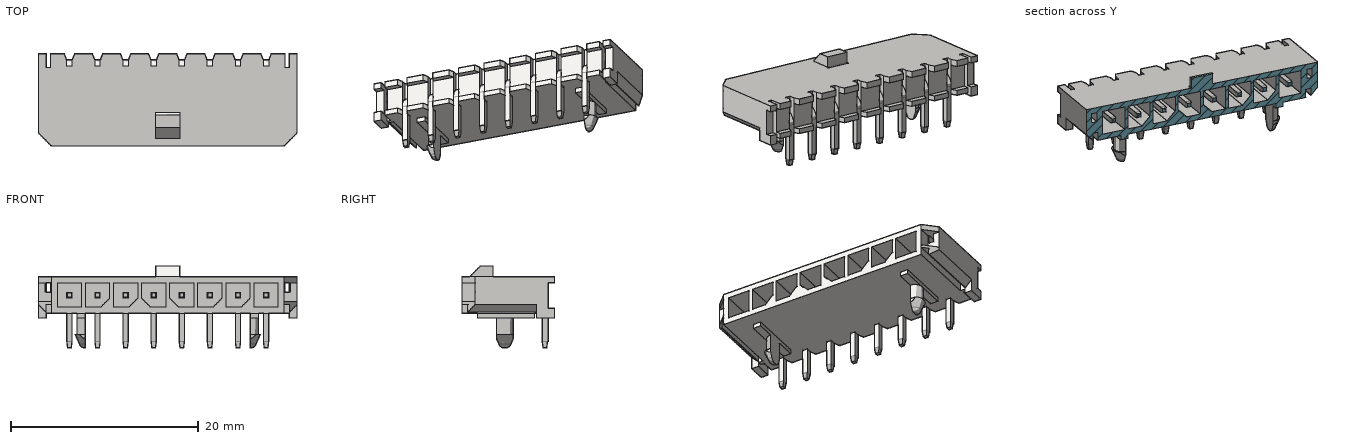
import cadquery as cq
import math


LENGTH = 27.65
DEPTH = 9.9
BODY_HEIGHT = 3.93
STANDOFF = 0.5
WALL = 0.65
HALF = LENGTH / 2
BODY_TOP = STANDOFF + BODY_HEIGHT
LOWEST_Z = -3.18

PIN_COUNT = 8
ROW_LENGTH = 21.01
PITCH = ROW_LENGTH / (PIN_COUNT - 1)
CAVITY = BODY_HEIGHT - 2 * WALL
CAVITY_DEPTH = 7.88
KEY_CHAMFER = 0.97
KEYED_RIGHT = (1, 2, 5, 6)
KEYED_LEFT = (3, 4)
PIN_X = [i * PITCH - ROW_LENGTH / 2 for i in range(PIN_COUNT)]

PIN_WIDTH = 0.58
TAIL_DEPTH = 0.65
TAIL_BACK = DEPTH - WALL
TAIL_FRONT = TAIL_BACK - TAIL_DEPTH
CONTACT_Z = STANDOFF + BODY_HEIGHT / 2
CONTACT_TIP_Y = 2.76
TIP_LENGTH = 0.65
TIP_INSET = 0.08
BEND_RADIUS = 0.65

NOTCH_MOUTH = 1.1

CORNER = 1.4
POCKET_HEIGHT = 2.0
CHANNEL_HEIGHT = 0.95
LIP_WIDTH = 0.83
BEVEL = 0.77
FOOT_WIDTH = 0.85
FOOT_DEPTH = 1.94
RECESS_BOTTOM = 1.05
SLOT_WIDTH = 0.41
SLOT_DEPTH = 1.5
PASSAGE_WIDTH = 0.58
PASSAGE_HEIGHT = 1.0

LATCH_WIDTH = 2.6
LATCH_HEIGHT = 1.15
LATCH_FRONT = 0.83
LATCH_CREST = 2.0
LATCH_BACK = 3.35
LATCH_GROOVE = 0.25

PEG_X = 8.8
PEG_Y = 4.6
PEG_RADIUS = 0.9
BARB_RADIUS = 1.1
BARB_TOP = -1.75
BARB_BOTTOM = -2.76
BARB_END_RADIUS = 0.65
RIB_FRONT = 1.65
RIB_BACK = 7.77


def block(x0, x1, y0, y1, z0, z1):
    """Box between two opposite corners."""
    return cq.Workplane("XY").box(x1 - x0, y1 - y0, z1 - z0, centered=False).translate((x0, y0, z0))


def side_profile(points, x0, x1):
    """Outline of (y, z) points, extruded from x0 to x1."""
    return cq.Workplane("YZ").polyline(points).close().extrude(x1 - x0).translate((x0, 0, 0))


def both_ends(solid):
    """The solid together with its mirror image at the other end of the row."""
    return solid.union(solid.mirror("YZ"))


def body_block():
    """Plain body with chamfered front corners and a recess across the back."""
    body = block(-HALF, HALF, 0, DEPTH, STANDOFF, BODY_TOP)
    body = body.edges("|Z and <Y").chamfer(CORNER)
    recess = block(-HALF, HALF, TAIL_BACK, DEPTH, RECESS_BOTTOM, BODY_TOP - WALL)
    return body.cut(recess)


def corner_pocket():
    """Pocket open through the chamfered front corner at the -X end."""
    pocket_top = BODY_TOP - WALL
    return block(-HALF, -HALF + CORNER, 0, CORNER, pocket_top - POCKET_HEIGHT, pocket_top)


def side_channel():
    """Channel under the -X end, from the front to the foot, that leaves a bevelled outer lip."""
    channel_top = STANDOFF + CHANNEL_HEIGHT
    lip_bottom = channel_top - BEVEL
    return (
        cq.Workplane("XZ")
        .polyline([
            (-HALF, STANDOFF),
            (-HALF, channel_top),
            (-HALF + BEVEL, lip_bottom),
            (-HALF + LIP_WIDTH, lip_bottom),
            (-HALF + LIP_WIDTH, channel_top),
            (-HALF + CORNER, channel_top),
            (-HALF + CORNER, STANDOFF),
        ])
        .close()
        .extrude(-(DEPTH - FOOT_DEPTH))
    )


def end_slot():
    """Slot at the back of the -X end and the passage that joins it to the corner pocket."""
    slot_outer = -HALF + FOOT_WIDTH
    slot_inner = slot_outer + SLOT_WIDTH
    slot_front = DEPTH - SLOT_DEPTH
    passage_top = BODY_TOP - WALL
    slot = block(slot_outer, slot_inner, slot_front, DEPTH, 0, BODY_TOP)
    passage = block(
        slot_inner - PASSAGE_WIDTH, slot_inner, CORNER, slot_front, passage_top - PASSAGE_HEIGHT, passage_top
    )
    return slot.union(passage)


def foot():
    """Foot under the back of the -X end."""
    return block(-HALF, -HALF + FOOT_WIDTH, DEPTH - FOOT_DEPTH, DEPTH, 0, STANDOFF)


def cavity(index):
    """Mating cavity, with one lower corner filled where the position is keyed."""
    x = PIN_X[index]
    floor = STANDOFF + WALL
    space = block(x - CAVITY / 2, x + CAVITY / 2, 0, CAVITY_DEPTH, floor, floor + CAVITY)
    if index in KEYED_RIGHT:
        space = space.edges("|Y and >X and <Z").chamfer(KEY_CHAMFER)
    if index in KEYED_LEFT:
        space = space.edges("|Y and <X and <Z").chamfer(KEY_CHAMFER)
    return space


def back_notch(x):
    """Full-height notch that tapers from the back edge to a slot as wide as the tail."""
    return (
        cq.Workplane("XY")
        .polyline([
            (x - NOTCH_MOUTH / 2, DEPTH),
            (x - PIN_WIDTH / 2, TAIL_BACK),
            (x - PIN_WIDTH / 2, TAIL_FRONT),
            (x + PIN_WIDTH / 2, TAIL_FRONT),
            (x + PIN_WIDTH / 2, TAIL_BACK),
            (x + NOTCH_MOUTH / 2, DEPTH),
        ])
        .close()
        .extrude(BODY_TOP)
    )


def latch():
    """Ramped catch on the top face."""
    crest_z = BODY_TOP + LATCH_HEIGHT
    outline = [
        (LATCH_FRONT, BODY_TOP),
        (LATCH_CREST, crest_z),
        (LATCH_BACK, crest_z),
        (LATCH_BACK, BODY_TOP),
    ]
    return side_profile(outline, -LATCH_WIDTH / 2, LATCH_WIDTH / 2)


def latch_groove():
    """Quarter-round groove in the top face along the back of the latch."""
    groove_back = LATCH_BACK + LATCH_GROOVE
    return (
        cq.Workplane("YZ")
        .moveTo(groove_back, BODY_TOP)
        .lineTo(LATCH_BACK, BODY_TOP)
        .radiusArc((groove_back, BODY_TOP - LATCH_GROOVE), -LATCH_GROOVE)
        .close()
        .extrude(LATCH_WIDTH / 2, both=True)
    )


def peg():
    """Half-round barbed peg and its rib, at the -X end; the flat side faces the middle."""
    dome_height = BARB_BOTTOM - LOWEST_Z
    dome_middle = (
        BARB_END_RADIUS * math.sin(math.pi / 4),
        BARB_BOTTOM - dome_height * math.cos(math.pi / 4),
    )
    barb = (
        cq.Workplane("XZ")
        .moveTo(0, BARB_TOP)
        .lineTo(BARB_RADIUS, BARB_TOP)
        .lineTo(BARB_END_RADIUS, BARB_BOTTOM)
        .threePointArc(dome_middle, (0, LOWEST_Z))
        .close()
        .revolve(360, (0, 0, 0), (0, 1, 0))
    )
    flat_sided = block(-BARB_RADIUS, 0, -PEG_RADIUS, PEG_RADIUS, LOWEST_Z, STANDOFF)
    stem = cq.Workplane("XY").workplane(offset=BARB_TOP).circle(PEG_RADIUS).extrude(STANDOFF - BARB_TOP)
    half_peg = stem.union(barb).intersect(flat_sided).translate((-PEG_X, PEG_Y, 0))
    rib = block(-PEG_X - PEG_RADIUS, -PEG_X, RIB_FRONT, RIB_BACK, 0, STANDOFF)
    return half_peg.union(rib)


def make_pin(x):
    """Bent pin: contact along Y, rounded bend, tail along -Z, both ends tapered."""
    half = PIN_WIDTH / 2
    contact_end = CONTACT_TIP_Y + TIP_LENGTH
    tail_end = LOWEST_Z + TIP_LENGTH
    bent_bar = side_profile(
        [
            (contact_end, CONTACT_Z + half),
            (TAIL_BACK, CONTACT_Z + half),
            (TAIL_BACK, tail_end),
            (TAIL_FRONT, tail_end),
            (TAIL_FRONT, CONTACT_Z - half),
            (contact_end, CONTACT_Z - half),
        ],
        -half,
        half,
    )
    bent_bar = bent_bar.edges("|X and >Y and >Z").fillet(BEND_RADIUS + TAIL_DEPTH)
    inner_corner = cq.NearestToPointSelector((0, TAIL_FRONT, CONTACT_Z - half))
    bent_bar = bent_bar.edges(inner_corner).fillet(BEND_RADIUS)
    tip_end = PIN_WIDTH - 2 * TIP_INSET
    contact_tip = (
        cq.Workplane("XZ", origin=(0, contact_end, CONTACT_Z))
        .rect(PIN_WIDTH, PIN_WIDTH)
        .workplane(offset=TIP_LENGTH)
        .rect(tip_end, tip_end)
        .loft(ruled=True)
    )
    tail_tip = (
        cq.Workplane("XY", origin=(0, TAIL_FRONT + half, tail_end))
        .rect(PIN_WIDTH, PIN_WIDTH)
        .workplane(offset=-TIP_LENGTH)
        .rect(tip_end, tip_end)
        .loft(ruled=True)
    )
    return bent_bar.union(contact_tip).union(tail_tip).translate((x, 0, 0))


def make_housing(pins):
    """Housing with a cavity, a back notch and a fitted pin passage at every position."""
    housing = body_block()
    housing = housing.cut(both_ends(corner_pocket()))
    housing = housing.cut(both_ends(side_channel()))
    housing = housing.union(both_ends(foot()))
    housing = housing.cut(both_ends(end_slot()))
    housing = housing.union(both_ends(peg()))
    housing = housing.union(latch())
    housing = housing.cut(latch_groove())
    for index, pin in enumerate(pins):
        housing = housing.cut(cavity(index))
        housing = housing.cut(back_notch(PIN_X[index]))
        housing = housing.cut(pin)
    return housing


pins = [make_pin(x) for x in PIN_X]
housing = make_housing(pins)

result = cq.Compound.makeCompound([housing.val(), *[pin.val() for pin in pins]])